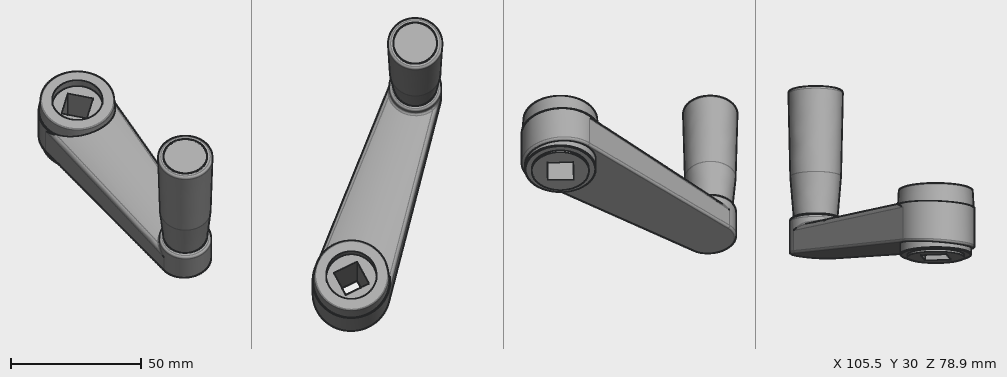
import cadquery as cq
import math

crank_length = 80.0

hub_radius = 15.0
boss_radius = 10.0
underside_height = 4.6
underside_slope = 0.12
underside_fillet = 1.0
shoulder_height = 19.8
shoulder_slope = 0.06
crown_height = 22.6
crown_slope = 0.043
crown_radius = 38.0
crown_fillet = 2.0

collar_top = 26.4
collar_top_radius = 14.2
collar_base_radius = 14.7
collar_fillet = 0.4
foot_diameter = 27.3
foot_bottom = 1.0
foot_chamfer = 0.3
pad_diameter = 22.0
recess_radius = 9.7
recess_depth = 3.7
square_side = 10.0

boss_top = 28.6
boss_fillet = 1.0
boss_root_fillet = 1.0

grip_top = 78.9
grip_waist = 45.4
grip_bottom = 28.9
grip_top_radius = 10.5
grip_waist_radius = 9.8
grip_bottom_radius = 8.4
grip_top_fillet = 1.0
grip_bottom_chamfer = 0.3
neck_radius = 4.0
groove_outer_radius = 8.4
groove_inner_radius = 8.3
groove_depth = 0.5

taper_sine = (hub_radius - boss_radius) / crank_length
taper_cosine = math.sqrt(1 - taper_sine**2)
hub_tangent = (hub_radius * taper_sine, hub_radius * taper_cosine)
boss_tangent = (crank_length + boss_radius * taper_sine, boss_radius * taper_cosine)

hub_end = -hub_radius
boss_end = crank_length + boss_radius


def cylinder(radius, bottom, top, x=0):
    return cq.Workplane("XY", origin=(x, 0, bottom)).circle(radius).extrude(top - bottom)


def height_at(x, height, slope):
    """Height at x of a sloped line that has the given height on the hub axis."""
    return height + slope * x


def make_underside_wedge():
    """Wedge of empty space below the arm's sloped underside."""
    return (
        cq.Workplane("XZ")
        .moveTo(hub_end, 0)
        .lineTo(hub_end, height_at(hub_end, underside_height, underside_slope))
        .lineTo(boss_end, height_at(boss_end, underside_height, underside_slope))
        .lineTo(boss_end, 0)
        .close()
        .extrude(hub_radius, both=True)
    )


def make_shoulder():
    """Full-width cylinder around the hub, with a sloped top."""
    above = (
        cq.Workplane("XZ")
        .moveTo(hub_end, boss_top)
        .lineTo(hub_end, height_at(hub_end, shoulder_height, shoulder_slope))
        .lineTo(hub_radius, height_at(hub_radius, shoulder_height, shoulder_slope))
        .lineTo(hub_radius, boss_top)
        .close()
        .extrude(hub_radius, both=True)
    )
    return cylinder(hub_radius, 0, boss_top).cut(above)


def make_crowned_beam():
    """Tapering straight part of the arm, its top crowned across Y and rounded along the sides."""
    (hub_x, hub_y), (boss_x, boss_y) = hub_tangent, boss_tangent
    beam = (
        cq.Workplane("XY")
        .polyline([(hub_x, hub_y), (hub_x, -hub_y), (boss_x, -boss_y), (boss_x, boss_y)])
        .close()
        .extrude(boss_top)
    )
    axis_height = crown_height - crown_radius * math.hypot(1, crown_slope)
    crown_start = height_at(hub_end, axis_height, crown_slope)
    crown = cq.Solid.makeCylinder(
        crown_radius,
        math.hypot(1, crown_slope) * (boss_end - hub_end),
        cq.Vector(hub_end, 0, crown_start),
        cq.Vector(1, 0, crown_slope),
    )
    beam = beam.intersect(cq.Workplane(crown))
    top_sides = beam.faces(">Z").edges("<Y or >Y")
    return beam.newObject(top_sides.vals()).fillet(crown_fillet)


def make_collar():
    """Tapered collar from inside the shoulder up to the flat top of the hub."""
    base = height_at(hub_end, shoulder_height, shoulder_slope)
    return (
        cq.Workplane("XZ")
        .moveTo(0, base)
        .lineTo(collar_base_radius, base)
        .lineTo(collar_top_radius, collar_top)
        .lineTo(0, collar_top)
        .close()
        .revolve(axisStart=(0, 0), axisEnd=(0, 1))
        .faces(">Z")
        .edges()
        .fillet(collar_fillet)
    )


def round_boss_root(arm):
    """Fillet the corner where the boss rises out of the crowned top."""
    corner_box = cq.selectors.BoxSelector(
        (crank_length - boss_radius, -boss_radius, crown_height),
        (crank_length, boss_radius, boss_top - boss_fillet),
    )
    return arm.edges(corner_box).fillet(boss_root_fillet)


def make_arm():
    boss = cylinder(boss_radius, 0, boss_top, crank_length)
    arm = make_crowned_beam().union(boss).union(make_shoulder()).cut(make_underside_wedge())
    arm = arm.faces(">Z").edges().fillet(boss_fillet)
    underside = arm.faces(f">({underside_slope}, 0, -1)")
    arm = underside.edges().fillet(underside_fillet)
    return round_boss_root(arm)


def make_crank():
    foot = cylinder(foot_diameter / 2, foot_bottom, shoulder_height).faces("<Z").chamfer(foot_chamfer)
    pad = cylinder(pad_diameter / 2, 0, foot_bottom)
    recess = cylinder(recess_radius, collar_top - recess_depth, collar_top)
    square = cq.Workplane("XY").rect(square_side, square_side).extrude(collar_top)
    square = square.rotate((0, 0, 0), (0, 0, 1), 45)
    body = make_arm().union(make_collar()).union(foot).union(pad)
    return body.cut(recess).cut(square)


def make_grip():
    body = (
        cq.Workplane("XZ", origin=(crank_length, 0, 0))
        .moveTo(0, grip_bottom)
        .lineTo(grip_bottom_radius, grip_bottom)
        .lineTo(grip_waist_radius, grip_waist)
        .lineTo(grip_top_radius, grip_top)
        .lineTo(0, grip_top)
        .close()
        .revolve(axisStart=(0, 0), axisEnd=(0, 1))
    )
    body = body.faces(">Z").edges().fillet(grip_top_fillet)
    body = body.faces("<Z").edges().chamfer(grip_bottom_chamfer)
    neck = cylinder(neck_radius, boss_top, grip_bottom, crank_length)
    groove_bottom = grip_top - groove_depth
    groove = cylinder(groove_outer_radius, groove_bottom, grip_top, crank_length)
    groove = groove.cut(cylinder(groove_inner_radius, groove_bottom, grip_top, crank_length))
    return body.union(neck).cut(groove)


crank = make_crank()
grip = make_grip()
result = cq.Compound.makeCompound([crank.val(), grip.val()])